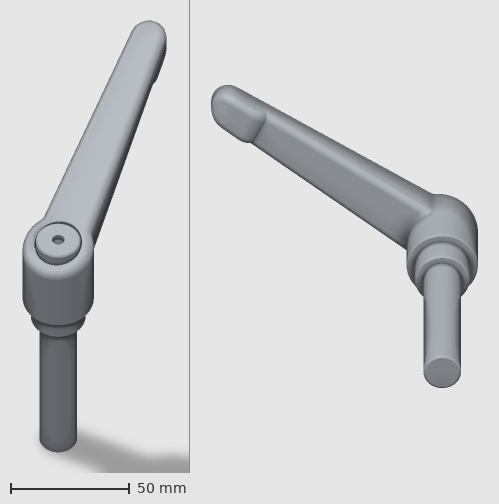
import cadquery as cq
import math

overall_height = 156.0

stud_radius = 8.0
stud_chamfer = 1.0
collar_radius = 11.5
collar_bottom = 79.7
collar_chamfer = 1.0

hub_radius = 15.0
hub_bottom = 91.7
hub_chamfer = 0.6
top_angle = math.radians(15)
top_slope = math.tan(top_angle)
arm_reach = 108.0
arm_tip_radius = 7.6
arm_root_half_width = 11.4
edge_fillet = 3.1
lower_edge_fillet = 3.1
neck_fillet = 3.1

tip_fillet_center_y = arm_reach - edge_fillet
tip_fillet_center_z = overall_height - edge_fillet
top_height_at_axis = tip_fillet_center_z + edge_fillet / math.cos(top_angle) - tip_fillet_center_y * top_slope

underside_slope = math.tan(math.radians(20))
underside_start_height = 107.3
bulge_inner_y = 86.0
bulge_low_y = 89.9
bulge_low_z = 136.5
bulge_outer_y = 93.1
bulge_outer_z = 137.0
tip_curve_start_y = 99.4
tip_curve_start_z = 139.3
tip_curve_mid_y = 105.0
tip_curve_mid_z = 142.9
tip_curve_end_y = 109.2
tip_curve_end_z = 150.5

button_radius = 9.4
button_top = 130.4
button_chamfer = 0.6
button_hole_radius = 2.7
button_hole_depth = 3.1
recess_radius = 10.0
recess_floor = 121.7

top_face = cq.selectors.DirectionMinMaxSelector(cq.Vector(0, -top_slope, 1), True)


def top_height(y):
    return top_height_at_axis + y * top_slope


def underside_height(y):
    return underside_start_height + y * underside_slope


def make_stud():
    rod = cq.Workplane("XY").circle(stud_radius).extrude(collar_bottom)
    rod = rod.faces("<Z").chamfer(stud_chamfer)
    collar = (
        cq.Workplane("XY", origin=(0, 0, collar_bottom))
        .circle(collar_radius)
        .extrude(hub_bottom - collar_bottom)
        .faces("<Z")
        .chamfer(collar_chamfer)
    )
    return rod.union(collar)


def is_lower_arm_edge(edge):
    """True for the edges that run along the arm between its sides and underside."""
    center = edge.Center()
    on_side = abs(center.x) > arm_tip_radius / 2 or center.y > arm_reach - arm_tip_radius
    depth = top_height(center.y) - center.z
    return on_side and depth > 2 * edge_fillet and edge.BoundingBox().ylen > edge_fillet / 10


def make_arm():
    """Tapered plan outline trimmed to the side profile of the arm."""
    tip_center_y = arm_reach - arm_tip_radius
    taper = math.acos(arm_tip_radius / math.hypot(arm_root_half_width, tip_center_y)) - math.atan2(
        tip_center_y, arm_root_half_width
    )
    tangent_x = arm_tip_radius * math.cos(taper)
    tangent_y = tip_center_y + arm_tip_radius * math.sin(taper)
    plan = (
        cq.Workplane("XY")
        .moveTo(-arm_root_half_width, 0)
        .lineTo(-tangent_x, tangent_y)
        .threePointArc((0, arm_reach), (tangent_x, tangent_y))
        .lineTo(arm_root_half_width, 0)
        .close()
        .extrude(2 * top_height(arm_reach))
    )
    profile = (
        cq.Workplane("YZ")
        .moveTo(0, underside_height(0))
        .lineTo(bulge_inner_y, underside_height(bulge_inner_y))
        .threePointArc((bulge_low_y, bulge_low_z), (bulge_outer_y, bulge_outer_z))
        .lineTo(tip_curve_start_y, tip_curve_start_z)
        .threePointArc((tip_curve_mid_y, tip_curve_mid_z), (tip_curve_end_y, tip_curve_end_z))
        .lineTo(tip_curve_end_y, top_height(tip_curve_end_y))
        .lineTo(0, top_height(0))
        .close()
        .extrude(hub_radius, both=True)
    )
    arm = plan.intersect(profile)
    lower_edges = [edge for edge in arm.edges().vals() if is_lower_arm_edge(edge)]
    return arm.newObject(lower_edges).fillet(lower_edge_fillet)


def make_hub():
    """Round hub cut off along the sloping plane of the arm's top."""
    hub = (
        cq.Workplane("XY", origin=(0, 0, hub_bottom))
        .circle(hub_radius)
        .extrude(top_height(hub_radius) - hub_bottom)
        .faces("<Z")
        .chamfer(hub_chamfer)
    )
    below_top = (
        cq.Workplane("YZ")
        .moveTo(-hub_radius, hub_bottom)
        .lineTo(hub_radius, hub_bottom)
        .lineTo(hub_radius, top_height(hub_radius))
        .lineTo(-hub_radius, top_height(-hub_radius))
        .close()
        .extrude(hub_radius, both=True)
    )
    return hub.intersect(below_top)


def make_handle():
    handle = make_hub().union(make_arm())
    neck_edges = [edge for edge in handle.edges("|Z").vals() if 0 < edge.Center().y < hub_radius]
    handle = handle.newObject(neck_edges).fillet(neck_fillet)
    handle = handle.faces(top_face).edges().fillet(edge_fillet)
    recess = (
        cq.Workplane("XY", origin=(0, 0, recess_floor))
        .circle(recess_radius)
        .extrude(top_height(hub_radius) - recess_floor)
    )
    return handle.cut(recess)


def make_button():
    return (
        cq.Workplane("XY", origin=(0, 0, recess_floor))
        .circle(button_radius)
        .extrude(button_top - recess_floor)
        .faces(">Z")
        .chamfer(button_chamfer)
        .faces(">Z")
        .workplane()
        .hole(2 * button_hole_radius, button_hole_depth)
    )


stud = make_stud()
handle = make_handle()
button = make_button()

result = cq.Compound.makeCompound([stud.val(), handle.val(), button.val()])